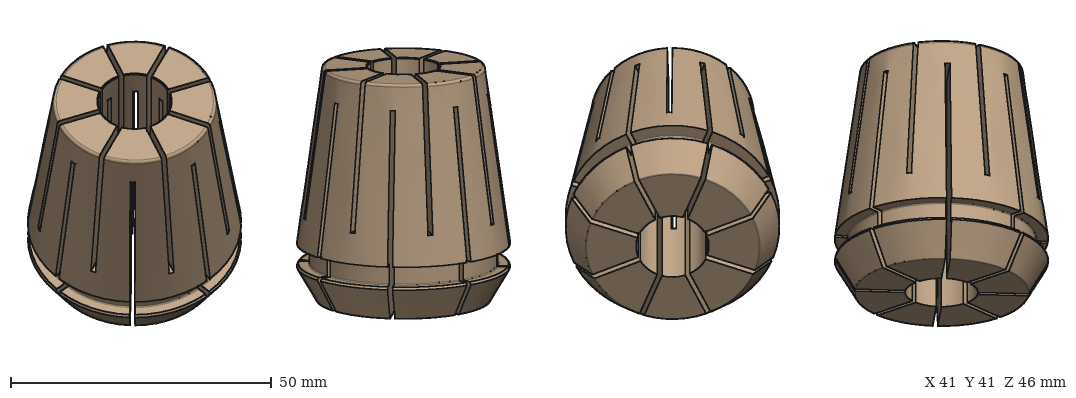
import cadquery as cq
import math

height = 46.0
max_radius = 20.5
bore_diameter = 14.0
bore_chamfer = 0.2

taper_angle = 8.0
taper_bottom = 11.1
nose_rounding = 0.6

groove_bottom = 7.1
groove_radius = 18.12
groove_corner_radius = 0.2

rim_height = 6.6
rim_bevel_width = 0.3
base_radius = 16.7
base_rounding = 0.2

slots_per_end = 8
slot_width = 0.95
base_slot_top = 40.9
nose_slot_bottom = 17.0
slot_pitch = 360.0 / slots_per_end

nose_radius = max_radius - (height - taper_bottom) * math.tan(math.radians(taper_angle))


def make_body():
    """Revolve the solid outline about Z, then round its nose, base and groove corners."""
    outline = [
        (0, 0),
        (base_radius, 0),
        (max_radius, rim_height),
        (max_radius - rim_bevel_width, groove_bottom),
        (groove_radius, groove_bottom),
        (groove_radius, taper_bottom),
        (max_radius, taper_bottom),
        (nose_radius, height),
        (0, height),
    ]
    body = cq.Workplane("XZ").polyline(outline).close().revolve(360, (0, 0), (0, 1))
    body = body.faces(">Z").edges().fillet(nose_rounding)
    body = body.faces("<Z").edges().fillet(base_rounding)
    groove_corners = body.faces("%CYLINDER").edges("%CIRCLE")
    return groove_corners.fillet(groove_corner_radius)


def cut_bore(body):
    """Cut the through bore and chamfer its mouth at the nose."""
    bored = body.faces(">Z").workplane().hole(bore_diameter)
    mouth = cq.selectors.RadiusNthSelector(0)
    return bored.faces(">Z").edges(mouth).chamfer(bore_chamfer)


def cut_slots(body, bottom, top, first_angle):
    """Cut evenly spaced radial slots from the bore axis out past the rim."""
    blade = cq.Workplane("XY", origin=(0, 0, bottom)).box(
        max_radius + slot_width, slot_width, top - bottom, centered=(False, True, False)
    )
    for index in range(slots_per_end):
        angle = first_angle + index * slot_pitch
        body = body.cut(blade.rotate((0, 0, 0), (0, 0, 1), angle))
    return body


collet = cut_bore(make_body())
collet = cut_slots(collet, 0, base_slot_top, 0)
result = cut_slots(collet, nose_slot_bottom, height, slot_pitch / 2)